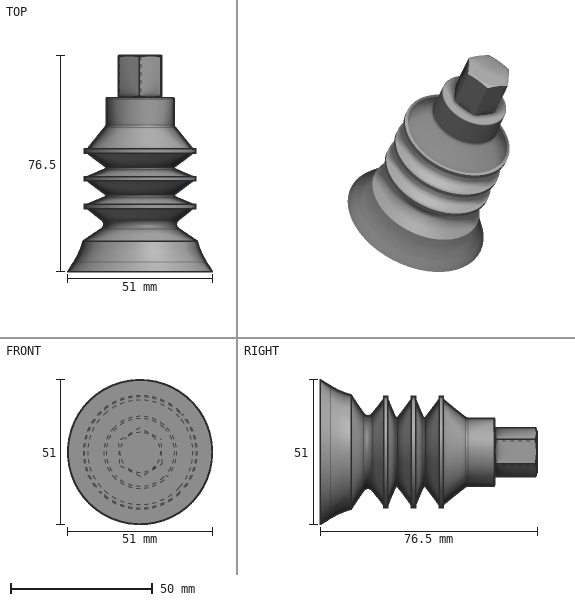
import cadquery as cq
import math

total_length = 76.5

lip_radius = 51.0 / 2
lip_cone_radius = 23.25
lip_cone_height = 3.6
skirt_radius = 20.1
skirt_height = 10.9

waist_radius = 12.8
waist_height = 16.8
waist_half_width = 1.6
waist_depth = 0.85

fold_count = 3
fold_pitch = 9.8
first_rim_height = 22.3
rim_radius = 19.65
rim_thickness = 1.5
ledge_radius = 18.5
neck_height = 4.9
neck_fillet_axial = 0.85
neck_fillet_radial = 0.5

collar_radius = 24.0 / 2
collar_end = 61.5
collar_base = 52.0
collar_fillet_axial = 0.9
collar_fillet_radial = 0.3
collar_edge_fillet = 0.5

hex_width = 15.0
corner_up_angle = 30
hex_turn = 2.2
hex_end_radius = 7.1
hex_chamfer_length = 0.5


def add_lip_and_waist(profile):
    """Run the outline from the sealing face up to the top of the waist."""
    waist_edge = waist_radius + waist_depth
    return (
        profile.lineTo(lip_radius, 0)
        .lineTo(lip_cone_radius, lip_cone_height)
        .tangentArcPoint((skirt_radius, skirt_height), relative=False)
        .lineTo(waist_edge, waist_height - waist_half_width)
        .threePointArc((waist_radius, waist_height), (waist_edge, waist_height + waist_half_width))
    )


def add_fold(profile, rim_height, neck_base, fillet_axial, fillet_radial):
    """Run the outline out to a rim, then back in to the neck at neck_base."""
    rim_top = rim_height + rim_thickness
    fillet_start = (collar_radius + fillet_radial, neck_base - fillet_axial)
    return (
        profile.lineTo(ledge_radius, rim_height)
        .lineTo(rim_radius, rim_height)
        .lineTo(rim_radius, rim_top)
        .lineTo(ledge_radius, rim_top)
        .lineTo(*fillet_start)
        .tangentArcPoint((collar_radius, neck_base), relative=False)
    )


def make_cup():
    """Turned body: lip, waist, folds and collar."""
    profile = add_lip_and_waist(cq.Workplane("XY").moveTo(0, 0))
    for fold in range(fold_count - 1):
        rim_height = first_rim_height + fold * fold_pitch
        neck_base = rim_height + neck_height
        profile = add_fold(profile, rim_height, neck_base, neck_fillet_axial, neck_fillet_radial)
    top_rim_height = first_rim_height + (fold_count - 1) * fold_pitch
    profile = add_fold(profile, top_rim_height, collar_base, collar_fillet_axial, collar_fillet_radial)
    profile = profile.lineTo(collar_radius, collar_end).lineTo(0, collar_end).close()
    cup = profile.revolve(360, (0, 0, 0), (0, 1, 0))
    return cup.faces(">Y").edges().fillet(collar_edge_fillet)


def make_hex():
    """Hexagonal fitting with both ends turned to a shallow cone."""
    corner_radius = hex_width / math.sqrt(3)
    length = total_length - collar_end
    prism = (
        cq.Workplane("XZ", origin=(0, total_length, 0))
        .polygon(6, 2 * corner_radius)
        .extrude(length)
        .rotate((0, 0, 0), (0, 1, 0), corner_up_angle - hex_turn)
    )
    envelope = (
        cq.Workplane("XY")
        .moveTo(0, collar_end)
        .lineTo(hex_end_radius, collar_end)
        .lineTo(corner_radius, collar_end + hex_chamfer_length)
        .lineTo(corner_radius, total_length - hex_chamfer_length)
        .lineTo(hex_end_radius, total_length)
        .lineTo(0, total_length)
        .close()
        .revolve(360, (0, 0, 0), (0, 1, 0))
    )
    return prism.intersect(envelope)


result = make_cup().union(make_hex())